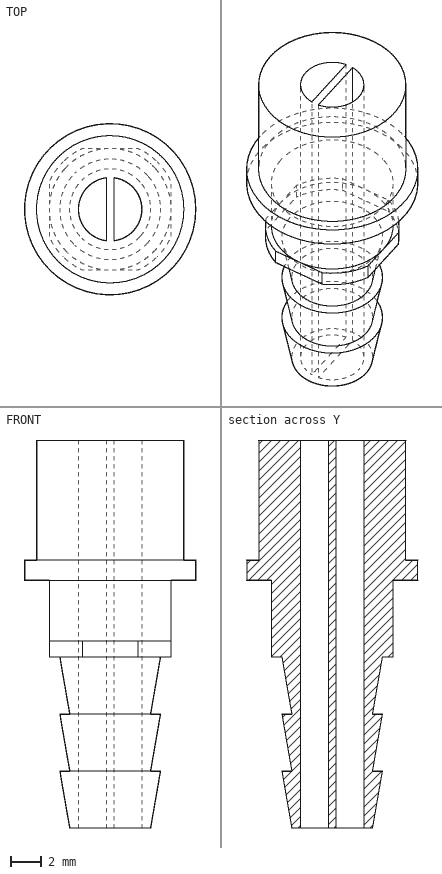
import cadquery as cq

total_height = 25.8
barb_count = 3
barb_height = 3.8
collar_height = 1.08
neck_height = 4.02
flange_height = 1.35
barbs_height = barb_count * barb_height
neck_bottom = barbs_height + collar_height
flange_bottom = neck_bottom + neck_height
head_bottom = flange_bottom + flange_height

head_diameter = 9.8
flange_diameter = 11.4
neck_diameter = 8.1
collar_corner_diameter = 8.9
barb_tip_diameter = 5.4
barb_lip_diameter = 6.7
bore_diameter = 4.2
web_thickness = 0.52


def cylinder(diameter, bottom, height):
    """Upright cylinder on the Z axis."""
    return cq.Workplane("XY").workplane(offset=bottom).circle(diameter / 2).extrude(height)


def barb(bottom):
    """Hose barb that widens upwards to a sharp lip."""
    return (
        cq.Workplane("XY").workplane(offset=bottom).circle(barb_tip_diameter / 2)
        .workplane(offset=barb_height).circle(barb_lip_diameter / 2)
        .loft(ruled=True)
    )


def collar():
    """Square collar, flush with the neck on four sides, with rounded corners."""
    square = (
        cq.Workplane("XY").workplane(offset=barbs_height)
        .rect(neck_diameter, neck_diameter).extrude(collar_height)
    )
    return square.intersect(cylinder(collar_corner_diameter, barbs_height, collar_height))


def web():
    """Thin wall along Y that divides the bore."""
    wall = cq.Workplane("XY").rect(web_thickness, bore_diameter).extrude(total_height)
    return wall.intersect(cylinder(bore_diameter, 0, total_height))


body = collar()
for index in range(barb_count):
    body = body.union(barb(index * barb_height))
body = body.union(cylinder(neck_diameter, neck_bottom, neck_height))
body = body.union(cylinder(flange_diameter, flange_bottom, flange_height))
body = body.union(cylinder(head_diameter, head_bottom, total_height - head_bottom))

result = body.cut(cylinder(bore_diameter, 0, total_height)).union(web())